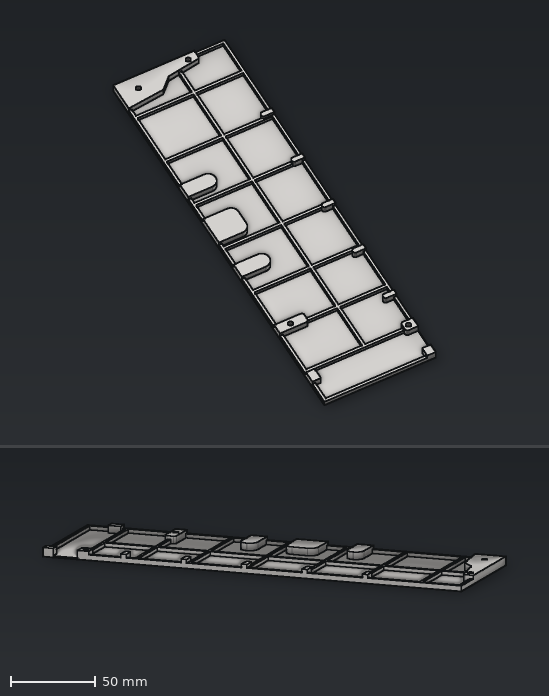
import cadquery as cq

LENGTH = 266.0
WIDTH = 75.3
PAD_TOP = 5.5
RIM_TOP = 3.5
FLOOR = 1.0
RIM = 2.0

RIB_START = 26.0
RIB_GAP = 34.8
RIB_PITCH = RIB_GAP + RIM
EVEN_RIBS = 5
EXTRA_RIB_X = 207.0
END_RIB_X = 240.5
LONG_RIB_Y = 40.7

CLIP_START = 61.2
CLIP_SPAN = 153.7
CLIP_COUNT = 5
CLIP_PITCH = CLIP_SPAN / (CLIP_COUNT - 1)
CLIP_WIDTH = 3.5
CLIP_RADIUS = 1.5
BACK_REACH = 8.2
BOSS_WIDTH = 7.2
CORNER_RADIUS = 1.5

ARCH_WIDTH = 10.5
ARCH_REACH = 21.3
ARCH_RADIUS = 5.0
MIDDLE_PAD_X = 123.1
MIDDLE_PAD_WIDTH = 20.0
ARCH_OFFSET = 33.8
SCREW_PAD_X = 206.5
SCREW_PAD_REACH = 19.5
END_PAD_X = 246.8
END_PAD_WIDTH = 8.0
STOP_REACH = 5.9
CORNER_PAD_WIDTH = 6.5

PLATE_END = 54.8
PLATE_CORNER = (6.5, PLATE_END)
PLATE_OUTLINE = [(0, 0), (19.7, 0), (17.0, 24.7), (9.8, 32.2), PLATE_CORNER, (0, PLATE_END)]
PLATE_RADIUS = 1.0

HOLE_DIAMETER = 3.2
HOLE_CENTRES = [(4.3, 48.5), (9.0, 12.2), (SCREW_PAD_X, 9.0), (END_RIB_X, 70.5)]


def block(x_min, x_max, y_min, y_max, top):
    """Box standing on the underside of the part."""
    size = (x_max - x_min, y_max - y_min, top)
    return cq.Workplane("XY").box(*size, centered=False).translate((x_min, y_min, 0))


def front_pad(x_centre, width, reach, radius=0):
    """Pad standing on the front edge, with its two inner corners rounded."""
    pad = block(x_centre - width / 2, x_centre + width / 2, 0, reach, PAD_TOP)
    if radius:
        pad = pad.edges("|Z and >Y").fillet(radius)
    return pad


def back_pad(x_centre, width, reach, radius=0):
    """Pad standing on the back edge, with its two inner corners rounded."""
    return front_pad(x_centre, width, reach, radius).mirror("XZ").translate((0, WIDTH, 0))


def cross_rib(x_centre):
    return block(x_centre - RIM / 2, x_centre + RIM / 2, 0, WIDTH, RIM_TOP)


def tray():
    """Floor with a rim; the back rim stops at the last cross rib."""
    body = block(0, LENGTH, 0, WIDTH, FLOOR)
    body = body.union(block(0, RIM, 0, WIDTH, RIM_TOP))
    body = body.union(block(LENGTH - RIM, LENGTH, 0, WIDTH, RIM_TOP))
    body = body.union(block(0, LENGTH, 0, RIM, RIM_TOP))
    return body.union(block(0, END_RIB_X, WIDTH - RIM, WIDTH, RIM_TOP))


def add_ribs(body):
    for index in range(EVEN_RIBS):
        body = body.union(cross_rib(RIB_START + index * RIB_PITCH))
    body = body.union(cross_rib(EXTRA_RIB_X))
    body = body.union(cross_rib(END_RIB_X))
    half = RIM / 2
    return body.union(block(0, END_RIB_X, LONG_RIB_Y - half, LONG_RIB_Y + half, RIM_TOP))


def add_front_pads(body):
    for side in (-1, 1):
        arch_x = MIDDLE_PAD_X + side * ARCH_OFFSET
        body = body.union(front_pad(arch_x, ARCH_WIDTH, ARCH_REACH, ARCH_RADIUS))
    body = body.union(front_pad(MIDDLE_PAD_X, MIDDLE_PAD_WIDTH, ARCH_REACH, ARCH_RADIUS))
    body = body.union(front_pad(SCREW_PAD_X, BOSS_WIDTH, SCREW_PAD_REACH, CORNER_RADIUS))
    return body.union(front_pad(END_PAD_X, END_PAD_WIDTH, STOP_REACH))


def add_back_pads(body):
    for index in range(CLIP_COUNT):
        clip_x = CLIP_START + index * CLIP_PITCH
        body = body.union(back_pad(clip_x, CLIP_WIDTH, BACK_REACH, CLIP_RADIUS))
    body = body.union(back_pad(END_RIB_X, BOSS_WIDTH, BACK_REACH, CORNER_RADIUS))
    corner_x = LENGTH - CORNER_PAD_WIDTH / 2
    return body.union(back_pad(corner_x, CORNER_PAD_WIDTH, STOP_REACH))


def end_plate():
    plate = cq.Workplane("XY").polyline(PLATE_OUTLINE).close().extrude(PAD_TOP)
    corner = cq.selectors.NearestToPointSelector((*PLATE_CORNER, PAD_TOP / 2))
    return plate.edges("|Z").edges(corner).fillet(PLATE_RADIUS)


def screw_holes():
    return cq.Workplane("XY").pushPoints(HOLE_CENTRES).circle(HOLE_DIAMETER / 2).extrude(PAD_TOP)


result = tray()
result = add_ribs(result)
result = add_front_pads(result)
result = add_back_pads(result)
result = result.union(end_plate())
result = result.cut(screw_holes())